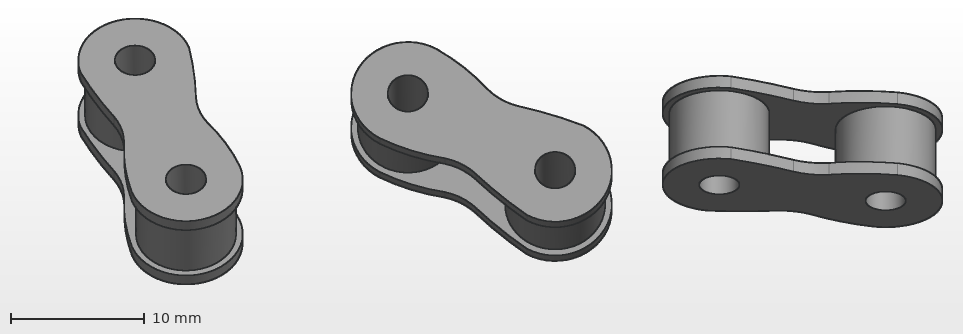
import cadquery as cq

length = 21.2
width = 8.5
height = 7.0
plate_thickness = 1.0
roller_diameter = 7.5
hole_diameter = 3.0

end_radius = width / 2
pitch = length - width
half_pitch = pitch / 2
roller_height = height - 2 * plate_thickness

left_flank_middle = (-3.84, 3.84)
waist_left = (-1.35, 3.22)
waist_middle = (-0.06, 3.05)
waist_right = (1.31, 3.26)
right_flank_middle = (3.84, 3.96)


def mirrored(point):
    """Reflect a point across the link's long axis."""
    return (point[0], -point[1])


def make_plate(bottom):
    """Side plate with round ends and a narrowed waist."""
    left_shoulder = (-half_pitch, end_radius)
    right_shoulder = (half_pitch, end_radius)
    return (
        cq.Workplane("XY", origin=(0, 0, bottom))
        .moveTo(*left_shoulder)
        .threePointArc(left_flank_middle, waist_left)
        .threePointArc(waist_middle, waist_right)
        .threePointArc(right_flank_middle, right_shoulder)
        .threePointArc((length / 2, 0), mirrored(right_shoulder))
        .threePointArc(mirrored(right_flank_middle), mirrored(waist_right))
        .threePointArc(mirrored(waist_middle), mirrored(waist_left))
        .threePointArc(mirrored(left_flank_middle), mirrored(left_shoulder))
        .threePointArc((-length / 2, 0), left_shoulder)
        .close()
        .extrude(plate_thickness)
    )


def make_cylinders(diameter, bottom, cylinder_height):
    """Pair of cylinders, one on each pin axis."""
    return (
        cq.Workplane("XY", origin=(0, 0, bottom))
        .pushPoints([(-half_pitch, 0), (half_pitch, 0)])
        .circle(diameter / 2)
        .extrude(cylinder_height)
    )


lower_plate = make_plate(-height / 2)
upper_plate = make_plate(height / 2 - plate_thickness)
rollers = make_cylinders(roller_diameter, -roller_height / 2, roller_height)
pin_holes = make_cylinders(hole_diameter, -height / 2, height)

result = lower_plate.union(rollers).union(upper_plate).cut(pin_holes)